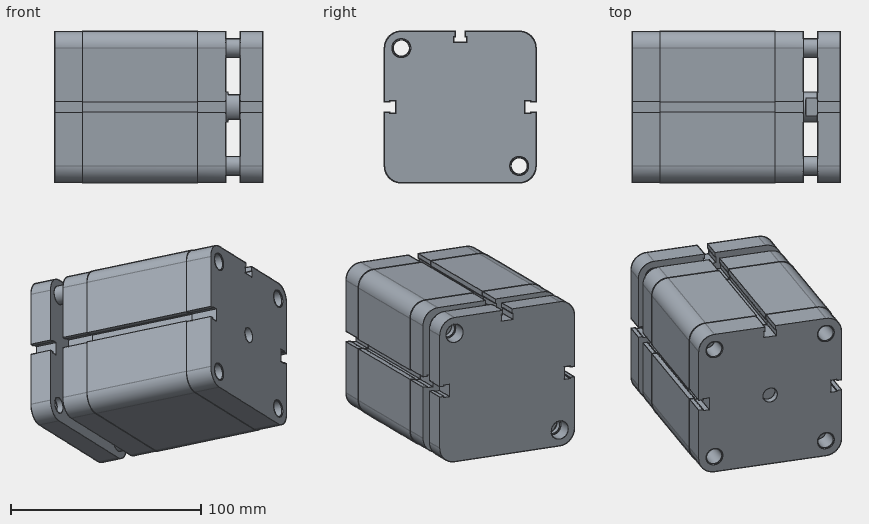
import cadquery as cq

cap_length = 14.75
housing_length = 90.0
rod_gap = 7.5
plate_thickness = 12.0
barrel_length = housing_length - 2 * cap_length
plate_x = housing_length + rod_gap

barrel_width = 80.0
cap_inset = 0.25
corner_radius = 9.0

slot_depth = 5.9
slot_mouth_width = 5.2
slot_inner_width = 6.4
slot_lip = 3.05

pattern_offset = barrel_width / 2 - corner_radius
fixing_hole_diameter = 8.5
fixing_chamfer = 0.45
blind_hole_depth = 12.0
counterbore_diameter = 10.0
counterbore_depth = 8.5
centring_hole_diameter = 8.0
centring_hole_depth = 4.0

guide_diameter = 10.0
rod_diameter = 16.0
rod_flats_width = 13.0
rod_collar_length = 1.15
rod_shoulder_slope = 0.25
rod_chamfer = 0.4

guide_places = [(pattern_offset, pattern_offset), (-pattern_offset, -pattern_offset)]
through_places = [(-pattern_offset, pattern_offset), (pattern_offset, -pattern_offset)]


def cross_section(x):
    """Workplane across the stroke axis: local x is Y, local y is Z, extrusion runs along +X."""
    return cq.Workplane("YZ", origin=(x, 0, 0))


def cylinder(x, place, diameter, length):
    return cross_section(x).center(*place).circle(diameter / 2).extrude(length)


def slot_cutter(x, length, inset):
    """T-slot in the +Z face; the inset moves every wall of the slot outwards by the same amount."""
    face = barrel_width / 2
    mouth_half = slot_mouth_width / 2 + inset
    inner_half = slot_inner_width / 2 + inset
    floor = barrel_width / 2 - slot_depth - inset
    lip = barrel_width / 2 - slot_lip + inset
    outline = [
        (-mouth_half, face),
        (-mouth_half, lip),
        (-inner_half, lip),
        (-inner_half, floor),
        (inner_half, floor),
        (inner_half, lip),
        (mouth_half, lip),
        (mouth_half, face),
    ]
    return cross_section(x).polyline(outline).close().extrude(length)


def slotted_block(x, length, inset):
    """Rounded square block with T-slots in its +Z, +Y and -Y faces."""
    width = barrel_width - 2 * inset
    block = cross_section(x).rect(width, width).extrude(length)
    block = block.edges("|X").fillet(corner_radius - inset)
    slot = slot_cutter(x, length, inset)
    for angle in (-90, 0, 90):
        block = block.cut(slot.rotate((0, 0, 0), (1, 0, 0), angle))
    return block


def fixing_hole(place, depth):
    """Hole from the rear face with a chamfered mouth."""
    mouth_radius = fixing_hole_diameter / 2 + fixing_chamfer
    cone = cq.Solid.makeCone(
        mouth_radius, fixing_hole_diameter / 2, fixing_chamfer, cq.Vector(0, *place), cq.Vector(1, 0, 0)
    )
    return cylinder(0, place, fixing_hole_diameter, depth).union(cq.Workplane(cone))


def make_housing():
    """Barrel between two caps, with fixing holes and a shallow centring hole from the rear."""
    rear_cap = slotted_block(0, cap_length, cap_inset)
    barrel = slotted_block(cap_length, barrel_length, 0)
    front_cap = slotted_block(cap_length + barrel_length, cap_length, cap_inset)
    housing = rear_cap.union(barrel).union(front_cap)
    for place in guide_places:
        housing = housing.cut(fixing_hole(place, blind_hole_depth))
    for place in through_places:
        housing = housing.cut(fixing_hole(place, housing_length))
    return housing.cut(cylinder(0, (0, 0), centring_hole_diameter, centring_hole_depth))


def make_plate():
    """Front plate; its holes lie in line with the through holes and are counterbored from +X."""
    plate = slotted_block(plate_x, plate_thickness, cap_inset)
    counterbore_x = plate_x + plate_thickness - counterbore_depth
    for place in through_places:
        plate = plate.cut(cylinder(plate_x, place, fixing_hole_diameter, plate_thickness))
        plate = plate.cut(cylinder(counterbore_x, place, counterbore_diameter, counterbore_depth))
    return plate


def make_piston_rod():
    """Rod with wrench flats on +Z and -Z, and a round collar against the housing."""
    rod = cylinder(housing_length, (0, 0), rod_diameter, rod_gap)
    rod = rod.faces(">X").chamfer(rod_chamfer)
    shoulder_x = housing_length + rod_collar_length
    flats_x = shoulder_x + rod_shoulder_slope
    side_profile = [
        (housing_length, 0),
        (housing_length, rod_diameter / 2),
        (shoulder_x, rod_diameter / 2),
        (flats_x, rod_flats_width / 2),
        (plate_x, rod_flats_width / 2),
        (plate_x, 0),
    ]
    upper_half = cq.Workplane("XZ").polyline(side_profile).close().extrude(rod_diameter / 2, both=True)
    return rod.intersect(upper_half.union(upper_half.mirror("XY")))


def make_guide_rod(place):
    return cylinder(housing_length, place, guide_diameter, rod_gap)


housing = make_housing()
plate = make_plate()
piston_rod = make_piston_rod()
guide_rods = [make_guide_rod(place) for place in guide_places]

result = cq.Compound.makeCompound(
    [housing.val(), plate.val(), piston_rod.val(), *[guide_rod.val() for guide_rod in guide_rods]]
)